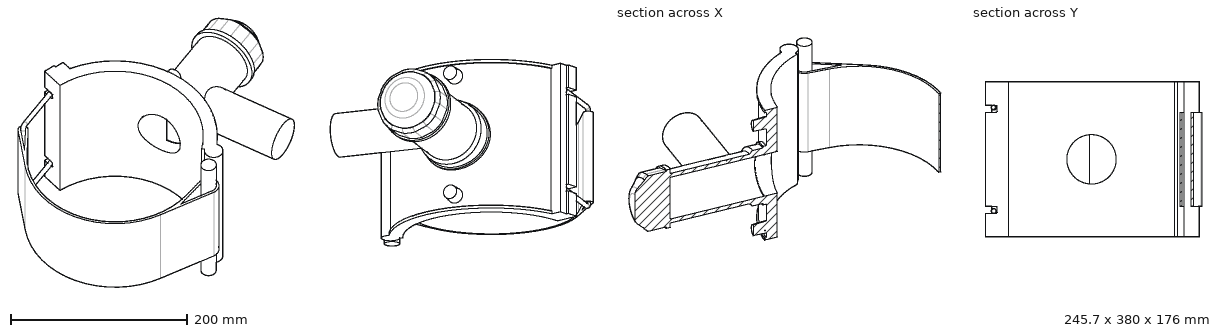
import cadquery as cq
import math

PIPE_R = 100.0
SADDLE_LENGTH = 176.0
SADDLE_BODY_R = 114.0
SADDLE_RIM_R = 116.0
RIM_WIDTH = 3.5
SADDLE_END_ANGLE = 20.0
SHELL_MID_R = (PIPE_R + SADDLE_BODY_R) / 2

BEAD_R = 10.5
BEAD_CENTRE_R = SADDLE_BODY_R

LATCH_OUTER_R = 128.0
LATCH_LIP_HEIGHT = 14.0
LATCH_STEP_R = 125.5
LATCH_HEIGHT = 25.0
SLOT_WIDTH = 8.0
SLOT_ROUND_CENTRE_R = 116.5
SLOT_Z = 57.2

WIRE_R = 2.8
WIRE_X = -110.9
WIRE_TOP_Y = 56.5
WIRE_BOTTOM_Y = -18.4
WIRE_Z = 58.6
WIRE_BEND_R = 5.0
WIRE_CENTRE = (WIRE_X, WIRE_BOTTOM_Y)

STRAP_THICKNESS = 3.0
STRAP_WIDTH = 106.5
STRAP_OUTER_R = PIPE_R + STRAP_THICKNESS
ROD_R = 8.85
ROD_CENTRE = (113.53, 17.2)

TOWER_R = 34.0
COLLAR_R = 38.0
COLLAR_TOP_Y = 134.8
COLLAR_CHAMFER = COLLAR_R - TOWER_R
PAD_R = 40.0
PAD_SURFACE_R = 118.0

FLANGE_R = 40.0
FLANGE_BOTTOM_Y = 232.5
FLANGE_TOP_Y = 238.0
CAP_R = 38.0
CAP_SHOULDER_Y = 265.0
CAP_CHAMFER = 4.5
CAP_FLATS = 8
DOME_BASE_R = 33.0
DOME_TOP_Y = 277.0
DOME_EDGE_R = 10.0

BRANCH_R = 25.0
BRANCH_Y = 164.0
BRANCH_END_X = 123.0

STUD_TIP_R = 8.0
STUD_TIP_Y = 130.0
STUD_BASE_R = 8.845
STUD_BASE_Y = SADDLE_BODY_R
STUD_Z = 70.5

BORE_R = 28.0
BORE_END_Y = FLANGE_BOTTOM_Y
BAFFLE_Y = SADDLE_RIM_R
BAFFLE_THICKNESS = 1.0
BAFFLE_EDGE_X = -2.2


def polar(radius, angle):
    """Point in the XY plane at a radius and an angle in degrees."""
    return (radius * math.cos(math.radians(angle)), radius * math.sin(math.radians(angle)))


def z_prism(height):
    """Workplane at the bottom of a prism that is centred on Z = 0."""
    return cq.Workplane("XY", origin=(0, 0, -height / 2))


def y_cylinder(radius, start_y, end_y):
    """Cylinder on the tower axis."""
    return cq.Workplane("XZ", origin=(0, start_y, 0)).circle(radius).extrude(start_y - end_y)


def shell_sector(outer_r, length):
    """Part of the saddle shell between its two end angles."""
    start = SADDLE_END_ANGLE
    end = 180 - SADDLE_END_ANGLE
    return (
        z_prism(length)
        .moveTo(*polar(PIPE_R, start))
        .lineTo(*polar(outer_r, start))
        .threePointArc((0, outer_r), polar(outer_r, end))
        .lineTo(*polar(PIPE_R, end))
        .threePointArc((0, PIPE_R), polar(PIPE_R, start))
        .close()
        .extrude(length)
    )


def make_saddle():
    saddle = shell_sector(SADDLE_BODY_R, SADDLE_LENGTH)
    rim = shell_sector(SADDLE_RIM_R, RIM_WIDTH)
    for side in (-1, 1):
        saddle = saddle.union(rim.translate((0, 0, side * (SADDLE_LENGTH - RIM_WIDTH) / 2)))
    bead = (
        z_prism(SADDLE_LENGTH)
        .center(*polar(BEAD_CENTRE_R, SADDLE_END_ANGLE))
        .circle(BEAD_R)
        .extrude(SADDLE_LENGTH)
    )
    return saddle.union(bead).union(make_latch_block())


def make_latch_block():
    """Stepped block, drawn with radial as -X and tangential as +Y, then turned into place."""
    block = (
        z_prism(SADDLE_LENGTH)
        .moveTo(-PIPE_R, 0)
        .lineTo(-LATCH_OUTER_R, 0)
        .lineTo(-LATCH_OUTER_R, LATCH_LIP_HEIGHT)
        .lineTo(-LATCH_STEP_R, LATCH_LIP_HEIGHT)
        .lineTo(-LATCH_STEP_R, LATCH_HEIGHT)
        .lineTo(-SHELL_MID_R, LATCH_HEIGHT)
        .close()
        .extrude(SADDLE_LENGTH)
    )
    slot_length = 2 * (LATCH_OUTER_R - SLOT_ROUND_CENTRE_R) + SLOT_WIDTH
    for side in (-1, 1):
        slot = (
            cq.Workplane("XZ", origin=(-LATCH_OUTER_R, 0, side * SLOT_Z))
            .slot2D(slot_length, SLOT_WIDTH)
            .extrude(-LATCH_LIP_HEIGHT)
        )
        block = block.cut(slot)
    return block.rotate((0, 0, 0), (0, 0, 1), -SADDLE_END_ANGLE)


def make_bail():
    """U-shaped round wire with two legs along Y."""
    bend_offset = WIRE_BEND_R * (1 - math.sqrt(0.5))
    bend_y = WIRE_BOTTOM_Y + WIRE_BEND_R
    bend_z = WIRE_Z - WIRE_BEND_R
    path = (
        cq.Workplane("YZ", origin=(WIRE_X, 0, 0))
        .moveTo(WIRE_TOP_Y, WIRE_Z)
        .lineTo(bend_y, WIRE_Z)
        .threePointArc((WIRE_BOTTOM_Y + bend_offset, WIRE_Z - bend_offset), (WIRE_BOTTOM_Y, bend_z))
        .lineTo(WIRE_BOTTOM_Y, -bend_z)
        .threePointArc((WIRE_BOTTOM_Y + bend_offset, bend_offset - WIRE_Z), (bend_y, -WIRE_Z))
        .lineTo(WIRE_TOP_Y, -WIRE_Z)
    )
    return cq.Workplane("XZ", origin=(WIRE_X, WIRE_TOP_Y, WIRE_Z)).circle(WIRE_R).sweep(path)


def face_angle(centre, offset, side):
    """Angle of the unit normal whose dot product with `centre` is `offset`.

    Side is +1 or -1 and picks the solution ahead of or behind the bearing of the centre.
    """
    bearing = math.degrees(math.atan2(centre[1], centre[0]))
    return bearing + side * math.degrees(math.acos(offset / math.hypot(*centre)))


def around(centre, radius, angle):
    """Point at a radius and an angle in degrees from a centre."""
    dx, dy = polar(radius, angle)
    return (centre[0] + dx, centre[1] + dy)


def face_crossing(first_r, first_angle, second_r, second_angle):
    """Point where two lines cross, each given by its distance from the pipe axis and its normal."""
    ax, ay = polar(1, first_angle)
    bx, by = polar(1, second_angle)
    determinant = ax * by - ay * bx
    return ((first_r * by - second_r * ay) / determinant, (second_r * ax - first_r * bx) / determinant)


def strap_face_angles(centre, core_r, side):
    """Normals of the outer and the returning inner strip, tangent to the strap ring and the loop."""
    outer_angle = face_angle(centre, PIPE_R - core_r, side)
    inner_angle = face_angle(centre, STRAP_OUTER_R + core_r, side)
    return outer_angle, inner_angle


def make_strap_loop(centre, core_r, side):
    """Strap end that wraps a round core; side is +1 at the bail and -1 at the hinge rod."""
    loop_r = core_r + STRAP_THICKNESS
    outer_angle, inner_angle = strap_face_angles(centre, core_r, side)
    return_angle = inner_angle - side * 180
    crown_angle = (outer_angle + return_angle) / 2
    loop = (
        z_prism(STRAP_WIDTH)
        .moveTo(*polar(STRAP_OUTER_R, outer_angle))
        .lineTo(*around(centre, loop_r, outer_angle))
        .threePointArc(around(centre, loop_r, crown_angle), around(centre, loop_r, return_angle))
        .lineTo(*polar(PIPE_R, inner_angle))
        .threePointArc(polar(PIPE_R, (outer_angle + inner_angle) / 2), polar(PIPE_R, outer_angle))
        .close()
        .extrude(STRAP_WIDTH)
    )
    hollow = (
        z_prism(STRAP_WIDTH)
        .moveTo(*face_crossing(PIPE_R, outer_angle, STRAP_OUTER_R, inner_angle))
        .lineTo(*around(centre, core_r, outer_angle))
        .threePointArc(around(centre, core_r, crown_angle), around(centre, core_r, return_angle))
        .close()
        .extrude(STRAP_WIDTH)
    )
    return loop.cut(hollow)


def make_strap_ring():
    """Arc of the strap that lies on the pipe, between the inner strips of its two loops."""
    start = strap_face_angles(WIRE_CENTRE, WIRE_R, 1)[1]
    end = strap_face_angles(ROD_CENTRE, ROD_R, -1)[1]
    return (
        z_prism(STRAP_WIDTH)
        .moveTo(*polar(STRAP_OUTER_R, start))
        .threePointArc((0, -STRAP_OUTER_R), polar(STRAP_OUTER_R, end))
        .lineTo(*polar(PIPE_R, end))
        .threePointArc((0, -PIPE_R), polar(PIPE_R, start))
        .close()
        .extrude(STRAP_WIDTH)
    )


def make_strap():
    wire_loop = make_strap_loop(WIRE_CENTRE, WIRE_R, 1)
    rod_loop = make_strap_loop(ROD_CENTRE, ROD_R, -1)
    rod = z_prism(SADDLE_LENGTH).center(*ROD_CENTRE).circle(ROD_R).extrude(SADDLE_LENGTH)
    return wire_loop.union(rod_loop).union(make_strap_ring()).union(rod)


def make_cap():
    flange = y_cylinder(FLANGE_R, FLANGE_BOTTOM_Y, FLANGE_TOP_Y)
    grip = y_cylinder(CAP_R, FLANGE_TOP_Y, CAP_SHOULDER_Y)
    flat_pitch = 360 / CAP_FLATS
    flat_distance = CAP_R * math.cos(math.radians(flat_pitch / 4))
    flat_length = CAP_SHOULDER_Y - FLANGE_TOP_Y
    for index in range(CAP_FLATS):
        shaving = (
            cq.Workplane("XY")
            .box(CAP_R, flat_length, CAP_R, centered=(False, False, True))
            .translate((flat_distance, FLANGE_TOP_Y, 0))
            .rotate((0, 0, 0), (0, 1, 0), flat_pitch * (index + 0.5))
        )
        grip = grip.cut(shaving)
    grip = grip.faces(">Y").chamfer(CAP_CHAMFER)
    return flange.union(grip).union(make_dome())


def make_dome():
    """Cone at 45 degrees whose edge with the flat top is rounded."""
    top_r = DOME_BASE_R - (DOME_TOP_Y - CAP_SHOULDER_Y)
    return (
        cq.Workplane("XY")
        .moveTo(0, CAP_SHOULDER_Y)
        .lineTo(DOME_BASE_R, CAP_SHOULDER_Y)
        .lineTo(top_r, DOME_TOP_Y)
        .lineTo(0, DOME_TOP_Y)
        .close()
        .revolve(360, (0, 0), (0, 1))
        .faces(">Y")
        .edges()
        .fillet(DOME_EDGE_R)
    )


def make_tower():
    """Collar, pad, tower and branch, with their undersides on the saddle shell."""
    collar = y_cylinder(COLLAR_R, 0, COLLAR_TOP_Y).faces(">Y").chamfer(COLLAR_CHAMFER)
    pad_surface = z_prism(2 * PAD_R).circle(PAD_SURFACE_R).extrude(2 * PAD_R)
    pad = y_cylinder(PAD_R, 0, PAD_SURFACE_R).intersect(pad_surface)
    tower = y_cylinder(TOWER_R, 0, FLANGE_BOTTOM_Y)
    branch = cq.Workplane("YZ").center(BRANCH_Y, 0).circle(BRANCH_R).extrude(BRANCH_END_X)
    pipe_space = z_prism(2 * PAD_R).circle(SHELL_MID_R).extrude(2 * PAD_R)
    return tower.union(collar).union(pad).cut(pipe_space).union(branch)


def make_studs():
    """Two tapered studs, sunk into the shell far enough to meet its curved surface."""
    taper_per_length = (STUD_BASE_R - STUD_TIP_R) / (STUD_TIP_Y - STUD_BASE_Y)
    root_r = STUD_TIP_R + taper_per_length * (STUD_TIP_Y - SHELL_MID_R)
    stud = (
        cq.Workplane("XY")
        .moveTo(0, SHELL_MID_R)
        .lineTo(root_r, SHELL_MID_R)
        .lineTo(STUD_TIP_R, STUD_TIP_Y)
        .lineTo(0, STUD_TIP_Y)
        .close()
        .revolve(360, (0, 0), (0, 1))
    )
    return stud.translate((0, 0, STUD_Z)).union(stud.translate((0, 0, -STUD_Z)))


def make_baffle():
    """Flat plate across the +X half of the bore, reaching just past the tower axis."""
    disc = y_cylinder((BORE_R + TOWER_R) / 2, BAFFLE_Y, BAFFLE_Y + BAFFLE_THICKNESS)
    covered_side = cq.Workplane("XY").box(
        2 * TOWER_R, 2 * BAFFLE_Y, 2 * TOWER_R, centered=(False, False, True)
    )
    return disc.intersect(covered_side.translate((BAFFLE_EDGE_X, 0, 0)))


fitting = make_saddle().union(make_tower()).union(make_cap()).union(make_studs())
fitting = fitting.cut(y_cylinder(BORE_R, 0, BORE_END_Y)).union(make_baffle())
result = fitting.union(make_strap()).union(make_bail())